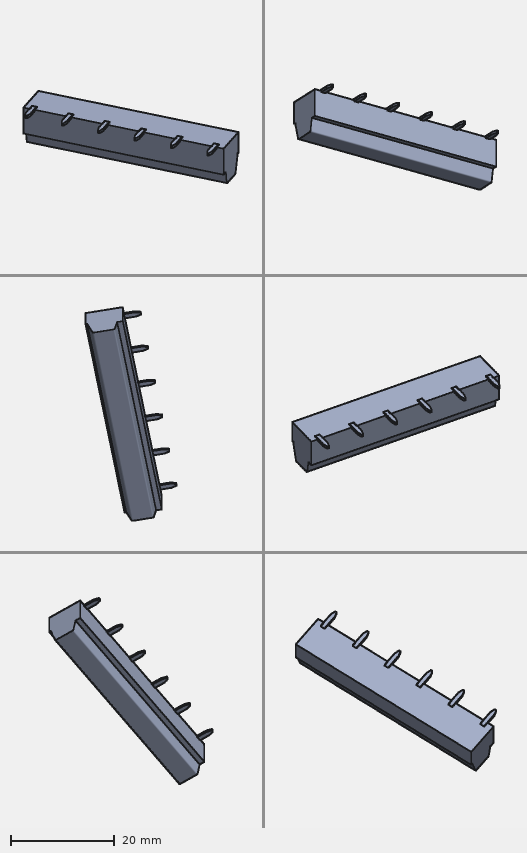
import cadquery as cq

pin_count = 6
pin_pitch = 7.62
end_margin = pin_pitch / 4
housing_length = (pin_count - 1) * pin_pitch + 2 * end_margin
housing_depth = 7.3
housing_height = 8.45

front_wall_height = 5.7
back_wall_height = 4.55
front_step = 1.1
back_step = 0.35
front_taper = 0.5
back_taper = 1.1
foot_edge_radius = 0.3

pin_width = 0.95
pin_thickness = 0.55
pin_rise = 0.25
pin_reach = 3.2
pin_overlap = 1.17
pin_bend_radius = 0.4
tip_length = 1.05
tip_width = 0.35

front_y = -housing_depth / 2
back_y = housing_depth / 2


def make_housing():
    """Block with a tapered foot whose two lower edges are rounded."""
    front_foot_y = front_y + front_step
    back_foot_y = back_y - back_step
    front_step_z = housing_height - front_wall_height
    back_step_z = housing_height - back_wall_height
    outline = [
        (front_y, housing_height),
        (front_y, front_step_z),
        (front_foot_y, front_step_z),
        (front_foot_y + front_taper, 0),
        (back_foot_y - back_taper, 0),
        (back_foot_y, back_step_z),
        (back_y, back_step_z),
        (back_y, housing_height),
    ]
    block = (
        cq.Workplane("YZ")
        .polyline(outline)
        .close()
        .extrude(housing_length / 2, both=True)
    )
    return block.faces("<Z").edges("|X").fillet(foot_edge_radius)


def make_pin(x):
    """Flat pin centred on x, rounded over at its inner end and tapered to a blunt tip."""
    inner_y = front_y + pin_overlap
    tip_y = front_y - pin_reach
    taper_y = tip_y + tip_length
    bottom_z = housing_height + pin_rise - pin_thickness
    plan_outline = [
        (x - pin_width / 2, inner_y),
        (x - pin_width / 2, taper_y),
        (x - tip_width / 2, tip_y),
        (x + tip_width / 2, tip_y),
        (x + pin_width / 2, taper_y),
        (x + pin_width / 2, inner_y),
    ]
    blade = (
        cq.Workplane("XY", origin=(0, 0, bottom_z))
        .polyline(plan_outline)
        .close()
        .extrude(pin_thickness)
    )
    return blade.faces(">Y").edges(">Z").fillet(pin_bend_radius)


result = make_housing()
first_pin_x = -housing_length / 2 + end_margin
for index in range(pin_count):
    result = result.union(make_pin(first_pin_x + index * pin_pitch))